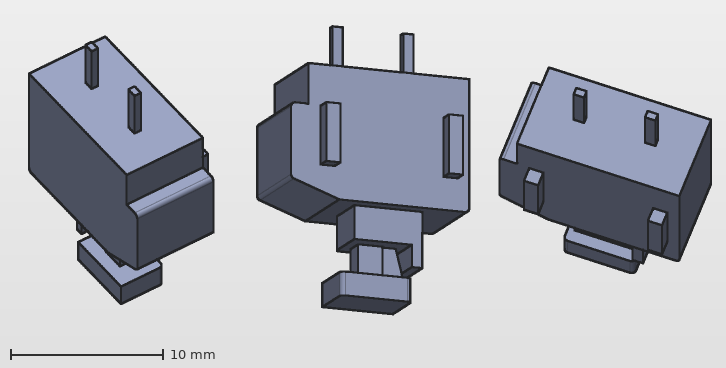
import cadquery as cq

housing_length = 12.6
housing_depth = 6.08
housing_bottom = 6.13
housing_top = 15.2
upper_length = 11.37
ledge_z = 12.44
slope_start_x = 9.2
slope_end_z = 7.31
corner_radius = 0.3

pin_top = 18.7
pin_width = 0.73
pin_thickness = 0.5
pin_y = 2.6
first_pin_x = 2.77
pin_pitch = 5.0

pad_width = 1.0
pad_height = 4.0
pad_bottom = 8.38
pad_projection = 1.01
first_pad_x = 0.85
pad_pitch = 8.68

guide_left = 2.92
guide_right = 7.72
guide_front = 1.68
guide_depth = 3.38
guide_bottom = 3.83
leg_width = 0.75
leg_bottom = 2.32

stem_left = 5.3
stem_right = 7.0
stem_depth = 1.42
stem_y = 2.47
web_depth = 1.01
web_bottom_x = 3.7
web_top_x = 4.26

button_left = 3.59
button_length = 5.0
button_front = 1.45
button_depth = 3.38
button_height = 1.63


def box(x, y, z, length, depth, height):
    """Box located by its left, front, bottom corner."""
    return cq.Workplane("XY").box(length, depth, height, centered=False).translate((x, y, z))


def side_profile(points, front, depth):
    """Extrude an XZ outline toward +Y, starting at Y = front."""
    return cq.Workplane("XZ", origin=(0, front, 0)).polyline(points).close().extrude(-depth)


def make_housing():
    outline = [
        (0, housing_bottom),
        (slope_start_x, housing_bottom),
        (housing_length, slope_end_z),
        (housing_length, ledge_z),
        (upper_length, ledge_z),
        (upper_length, housing_top),
        (0, housing_top),
    ]
    body = side_profile(outline, 0, housing_depth)
    body = body.edges("|Y and >X").fillet(corner_radius)
    return body.edges("|Y and <X and <Z").fillet(corner_radius)


def make_guide():
    leg_right = guide_left + leg_width
    outline = [
        (guide_left, leg_bottom),
        (leg_right, leg_bottom),
        (leg_right, guide_bottom),
        (guide_right, guide_bottom),
        (guide_right, housing_bottom),
        (guide_left, housing_bottom),
    ]
    guide = side_profile(outline, guide_front, guide_depth)
    front_edges = guide.faces("<Y").edges("|Z and (<X or >X)")
    return front_edges.fillet(corner_radius)


def make_stem():
    stem_height = guide_bottom - button_height
    stem = box(stem_left, stem_y, button_height, stem_right - stem_left, stem_depth, stem_height)
    web_outline = [
        (web_bottom_x, button_height),
        (stem_left, button_height),
        (stem_left, guide_bottom),
        (web_top_x, guide_bottom),
    ]
    web_front = stem_y + (stem_depth - web_depth) / 2
    return stem.union(side_profile(web_outline, web_front, web_depth))


def make_button():
    button = box(button_left, button_front, 0, button_length, button_depth, button_height)
    return button.edges("|Z and >Y").fillet(corner_radius)


result = make_housing().union(make_guide()).union(make_stem()).union(make_button())

for index in range(2):
    pin_x = first_pin_x + index * pin_pitch
    pad_x = first_pad_x + index * pad_pitch
    pin = box(pin_x, pin_y, housing_top, pin_width, pin_thickness, pin_top - housing_top)
    pad = box(pad_x, housing_depth, pad_bottom, pad_width, pad_projection, pad_height)
    result = result.union(pin).union(pad)